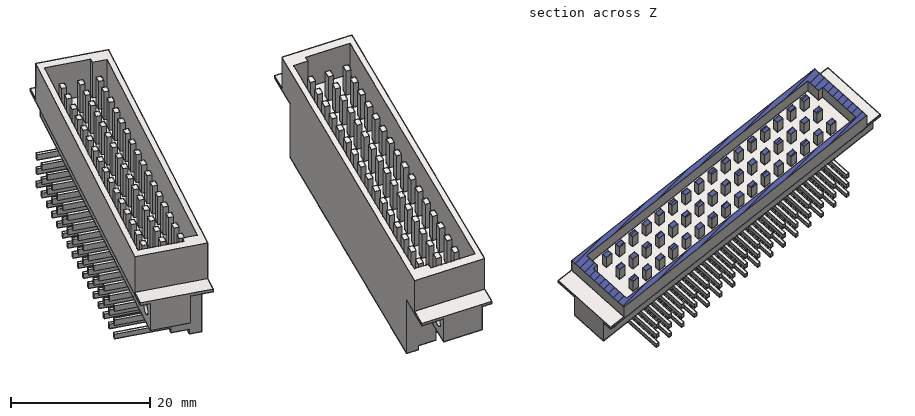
import cadquery as cq


total_height = 18.2
shroud_length = 48.0
shroud_depth = 11.0
wall = 0.9

flange_length = 53.24
flange_top = 11.75
flange_thickness = 0.5
flange_bottom = flange_top - flange_thickness
bar_rear = 3.4
bar_front = 9.5
bar_bottom = 6.4
hole_spacing = 48.9
hole_diameter = 2.0
hole_height = 8.9

cavity_length = 45.2
cavity_floor = flange_top
key_width = 0.8
key_depth = 2.25

columns = 16
contact_rows = 3
contact_pitch = 2.6
contact_width = 1.1
contact_depth = 0.8
contact_top = 16.8
contact_row_pitch = 2.8
first_contact_row = 2.7

tail_pitch = 2.5
tail_width = 0.5
tail_height = 1.0
tail_tip = 12.5
tail_row_pitch = 2.575
top_tail_upper_face = 6.0

support_length = 42.2
step_fronts = [7.4, 4.65, 1.9]
step_bottoms = [3.75, top_tail_upper_face - 2 * tail_row_pitch, 0.0]


def block(length, rear, front, bottom, top):
    """Box centred on X = 0; rear and front are distances forward of the rear face."""
    return (
        cq.Workplane("XY")
        .box(length, front - rear, top - bottom, centered=(True, False, False))
        .translate((0, -front, bottom))
    )


def make_housing():
    """Shroud, flange and mounting bar."""
    shroud = block(shroud_length, 0, shroud_depth, flange_bottom, total_height)
    flange = block(flange_length, 0, shroud_depth, flange_bottom, flange_top)
    bar = block(flange_length, bar_rear, bar_front, bar_bottom, flange_bottom)
    return shroud.union(flange).union(bar)


def make_support():
    """Stepped block under the shroud; each lower step is shallower."""
    support = block(support_length, 0, step_fronts[0], step_bottoms[0], flange_bottom)
    for i in range(1, len(step_fronts)):
        step = block(support_length, 0, step_fronts[i], step_bottoms[i], step_bottoms[i - 1])
        support = support.union(step)
    return support


def make_cavity():
    """Open-topped cavity with a keyed outline."""
    key_front = wall + key_depth
    cavity_front = shroud_depth - wall
    rear_part = block(cavity_length - 2 * key_width, wall, key_front, cavity_floor, total_height)
    front_part = block(cavity_length, key_front, cavity_front, cavity_floor, total_height)
    return rear_part.union(front_part)


def make_mounting_holes():
    """Through holes along Y near the two ends of the bar."""
    return (
        cq.Workplane("XZ")
        .pushPoints([(-hole_spacing / 2, hole_height), (hole_spacing / 2, hole_height)])
        .circle(hole_diameter / 2)
        .extrude(shroud_depth)
    )


def make_contacts():
    """Three rows of upright contacts standing on the cavity floor."""
    middle_row = first_contact_row + contact_row_pitch
    return (
        cq.Workplane("XY", origin=(0, -middle_row, cavity_floor))
        .rarray(contact_pitch, contact_row_pitch, columns, contact_rows)
        .rect(contact_width, contact_depth)
        .extrude(contact_top - cavity_floor)
    )


def make_tail_row(row):
    """One row of horizontal solder tails from a step front; the lowest row ends level with the underside."""
    upper = top_tail_upper_face - row * tail_row_pitch
    lower = max(upper - tail_height, 0.0)
    return (
        cq.Workplane("XZ", origin=(0, -step_fronts[row], (upper + lower) / 2))
        .rarray(tail_pitch, 1, columns, 1)
        .rect(tail_width, upper - lower)
        .extrude(tail_tip - step_fronts[row])
    )


housing = make_housing().union(make_support())
result = housing.cut(make_cavity()).cut(make_mounting_holes()).union(make_contacts())
for tail_row in range(len(step_fronts)):
    result = result.union(make_tail_row(tail_row))